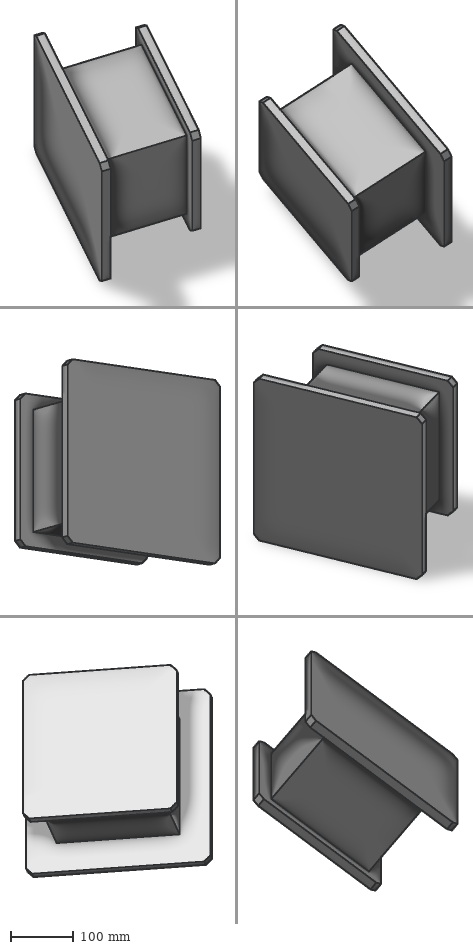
import cadquery as cq

front_side = 300.0
back_side = 250.0
core_side = 200.0
plate_thickness = 15.0
total_depth = 180.0
corner_chamfer = 10.0

core_depth = total_depth - 2 * plate_thickness


def square_block(side, depth, start_y):
    """Square block centred on the Y axis, running from start_y toward +Y."""
    return cq.Workplane("XY").box(side, depth, side).translate((0, start_y + depth / 2, 0))


def plate(side, start_y):
    """Square end plate with its four corners cut off."""
    return square_block(side, plate_thickness, start_y).edges("|Y").chamfer(corner_chamfer)


front_plate = plate(front_side, 0)
core = square_block(core_side, core_depth, plate_thickness)
back_plate = plate(back_side, plate_thickness + core_depth)

result = front_plate.union(core).union(back_plate)